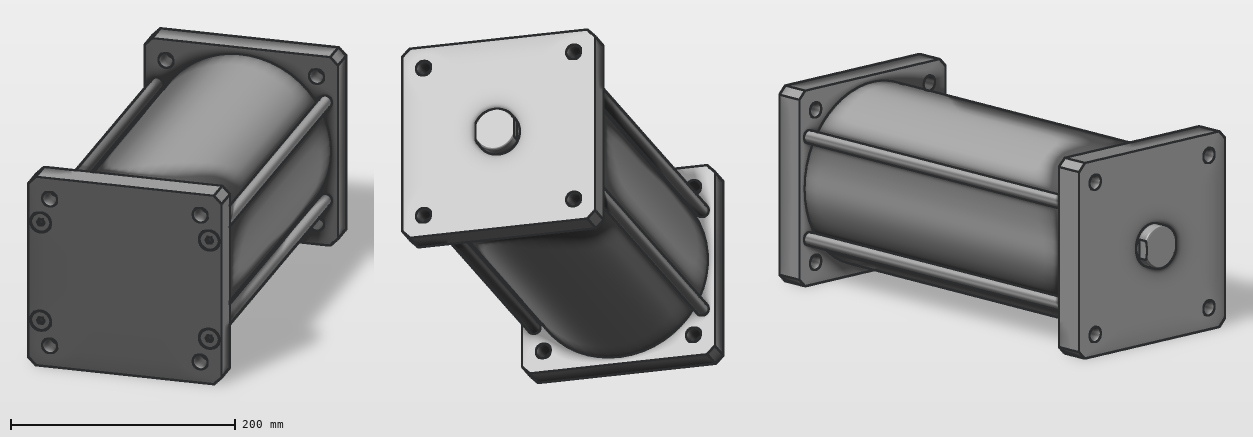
import cadquery as cq

overall_length = 399
plate_side = 180.0
plate_thickness = 26.0
corner_chamfer = 7.0
tube_diameter = 167.0

stub_length = 12
stub_diameter = 40
stub_flat_width = 36
stub_flat_length = 9.5
stub_fillet = 2.0

hole_diameter = 14.0
hole_pitch = 140.0

rod_diameter = 12
rod_pitch_x = 157.0
rod_pitch_z = 93.8
counterbore_diameter = 19.0
head_diameter = 18.0
head_recess = 0.2
counterbore_depth = 12
socket_corner_width = 6.8
socket_depth = 4

front_face = -overall_length / 2
rear_face = overall_length / 2 - stub_length
stub_end = overall_length / 2


def rectangle_corners(pitch_x, pitch_z):
    """Four points of a rectangle centred on the cylinder axis."""
    return [(x * pitch_x / 2, z * pitch_z / 2) for x in (-1, 1) for z in (-1, 1)]


def section(y):
    """Workplane normal to the axis at y, with local axes X and Z, facing -Y."""
    return cq.Workplane("XZ", origin=(0, y, 0))


def cylinders(points, diameter, y_start, y_end):
    """Cylinders along Y between two stations, one at each point."""
    return section(y_start).pushPoints(points).circle(diameter / 2).extrude(y_start - y_end)


def end_plate(y_start):
    """Square plate with chamfered corners and four mounting holes."""
    plate = (
        section(y_start)
        .rect(plate_side, plate_side)
        .extrude(-plate_thickness)
        .edges("|Y")
        .chamfer(corner_chamfer)
    )
    holes = cylinders(
        rectangle_corners(hole_pitch, hole_pitch), hole_diameter, y_start, y_start + plate_thickness
    )
    return plate.cut(holes)


def rod_stub():
    """Round stub with a filleted tip and wrench flats facing +X and -X that slope out to the plate."""
    radius = stub_diameter / 2
    half_width = stub_flat_width / 2
    stub = cylinders([(0, 0)], stub_diameter, rear_face, stub_end).faces(">Y").edges().fillet(stub_fillet)
    envelope = (
        cq.Workplane("XY")
        .polyline([
            (-radius, rear_face),
            (-half_width, stub_end - stub_flat_length),
            (-half_width, stub_end),
            (half_width, stub_end),
            (half_width, stub_end - stub_flat_length),
            (radius, rear_face),
        ])
        .close()
        .extrude(stub_diameter, both=True)
    )
    return stub.intersect(envelope)


def screw_heads(points):
    """Round screw heads with hexagon sockets, filling the counterbores up to the recess."""
    head_face = front_face + head_recess
    heads = cylinders(points, head_diameter, head_face, front_face + counterbore_depth)
    sockets = section(head_face).pushPoints(points).polygon(6, socket_corner_width).extrude(-socket_depth)
    return heads.cut(sockets)


rod_points = rectangle_corners(rod_pitch_x, rod_pitch_z)

front_plate = end_plate(front_face)
rear_plate = end_plate(rear_face - plate_thickness)
tube = cylinders([(0, 0)], tube_diameter, front_face + plate_thickness, rear_face - plate_thickness)
tie_rods = cylinders(rod_points, rod_diameter, front_face + plate_thickness, rear_face - plate_thickness)

counterbores = cylinders(rod_points, counterbore_diameter, front_face, front_face + counterbore_depth)

result = (
    front_plate.cut(counterbores)
    .union(screw_heads(rod_points))
    .union(tube)
    .union(tie_rods)
    .union(rear_plate)
    .union(rod_stub())
)